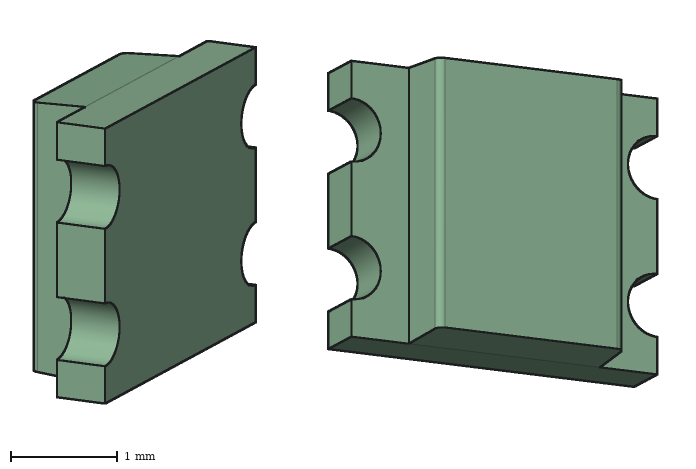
import cadquery as cq

board_length = 3.2
board_height = 2.69
board_thickness = 0.51

notch_radius = 0.307
notch_spacing = 1.345

total_thickness = 1.09
lens_depth = total_thickness - board_thickness
lens_width = 2.0
lens_draft = 3.0
lens_edge_radius = 0.075


def make_board():
    """Plate with its lens-side face at X = 0 and two notches in each end."""
    plate = cq.Workplane("YZ").box(
        board_length, board_height, board_thickness, centered=(True, True, False)
    )
    notches = (
        cq.Workplane("YZ")
        .rarray(board_length, notch_spacing, 2, 2)
        .circle(notch_radius)
        .extrude(board_thickness)
    )
    return plate.cut(notches)


def make_lens():
    """Drafted block growing toward -X, with its two upright outer edges rounded."""
    block = (
        cq.Workplane("YZ")
        .rect(lens_width, board_height)
        .extrude(-lens_depth, taper=lens_draft)
    )
    return block.faces("<X").edges("|Z").fillet(lens_edge_radius)


result = make_board().union(make_lens())